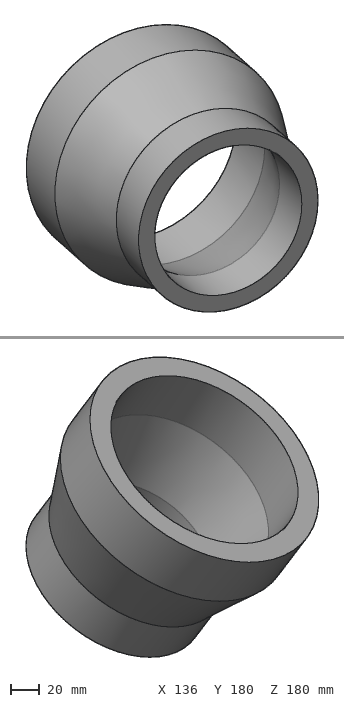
import cadquery as cq

total_length = 136.0
large_length = 45.0
small_length = 35.0
large_outer_radius = 180 / 2
large_bore_radius = 147.2 / 2
small_outer_radius = 140.0 / 2
small_bore_radius = 114.7 / 2

taper_start = large_length
taper_end = total_length - small_length


def stepped_body(large_radius, small_radius):
    """Solid of revolution: large cylinder, cone, small cylinder."""
    return (
        cq.Workplane("XY")
        .moveTo(0, 0)
        .lineTo(0, large_radius)
        .lineTo(taper_start, large_radius)
        .lineTo(taper_end, small_radius)
        .lineTo(total_length, small_radius)
        .lineTo(total_length, 0)
        .close()
        .revolve(360, (0, 0, 0), (1, 0, 0))
    )


outside = stepped_body(large_outer_radius, small_outer_radius)
bore = stepped_body(large_bore_radius, small_bore_radius)

result = outside.cut(bore)